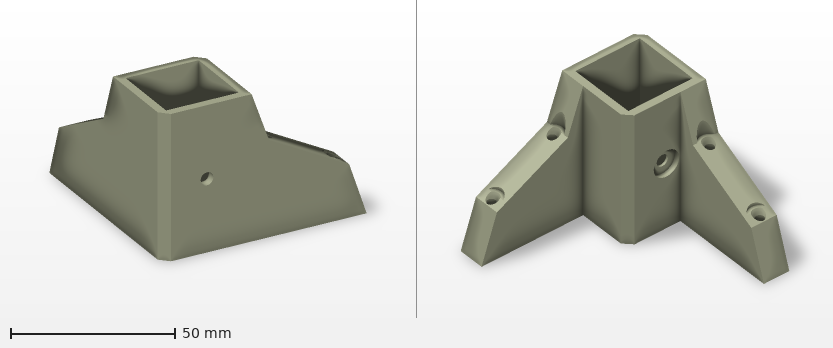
import cadquery as cq

overall = 71.0
height = 50.0

tower_side = 31.0
bore_side = 25.35
corner_chamfer = 3.0
tower_start = overall - tower_side
tower_center_x = overall - tower_side / 2
tower_center_y = tower_side / 2

cross_hole_diameter = 4.4
recess_diameter = 10.0
recess_depth = 2.0

arm_width = 10.0
steep_run = 6.0
ramp_low_z = 18.0
ramp_high_z = 33.0

screw_diameter = 3.2
countersink_diameter = 5.5
countersink_depth = 2.0
head_clearance_diameter = 8.0
hole_inset = 8.0
low_seat_z = 20.0
high_seat_z = ramp_high_z
screw_seats = [
    (hole_inset, low_seat_z),
    (tower_start - hole_inset, high_seat_z),
]


def screw_cutter(x, seat_z):
    """Through hole, countersink below the seat and head clearance above it."""
    screw_radius = screw_diameter / 2
    countersink_radius = countersink_diameter / 2
    clearance_radius = head_clearance_diameter / 2
    half_section = (
        cq.Workplane("XZ")
        .lineTo(screw_radius, 0)
        .lineTo(screw_radius, seat_z - countersink_depth)
        .lineTo(countersink_radius, seat_z)
        .lineTo(clearance_radius, seat_z)
        .lineTo(clearance_radius, height)
        .lineTo(0, height)
        .close()
    )
    cutter = half_section.revolve(360, (0, 0, 0), (0, 1, 0))
    return cutter.translate((x, arm_width / 2, 0))


def make_arm():
    """Arm with its tip at X = 0 and its root at the tower's -X face."""
    arm = (
        cq.Workplane("XZ")
        .lineTo(steep_run, ramp_low_z)
        .lineTo(tower_start - steep_run, ramp_high_z)
        .lineTo(tower_start, height)
        .lineTo(tower_start, 0)
        .close()
        .extrude(-arm_width)
    )
    for x, seat_z in screw_seats:
        arm = arm.cut(screw_cutter(x, seat_z))
    return arm


def make_tower():
    """Square tube with two opposite corners chamfered."""
    return (
        cq.Workplane("XY")
        .moveTo(tower_start, 0)
        .lineTo(overall - corner_chamfer, 0)
        .lineTo(overall, corner_chamfer)
        .lineTo(overall, tower_side)
        .lineTo(tower_start + corner_chamfer, tower_side)
        .lineTo(tower_start, tower_side - corner_chamfer)
        .close()
        .extrude(height)
    )


def x_cylinder(diameter, length):
    """Cylinder entering the tower's -X face at mid height."""
    return (
        cq.Workplane("YZ", origin=(tower_start, tower_center_y, height / 2))
        .circle(diameter / 2)
        .extrude(length)
    )


x_arm = make_arm()
y_arm = (
    make_arm()
    .rotate((0, 0, 0), (0, 0, 1), -90)
    .translate((overall - arm_width, overall, 0))
)
bore = (
    cq.Workplane("XY")
    .center(tower_center_x, tower_center_y)
    .rect(bore_side, bore_side)
    .extrude(height)
)

body = make_tower().union(x_arm).union(y_arm).cut(bore)
body = body.cut(x_cylinder(cross_hole_diameter, tower_side))
result = body.cut(x_cylinder(recess_diameter, recess_depth))